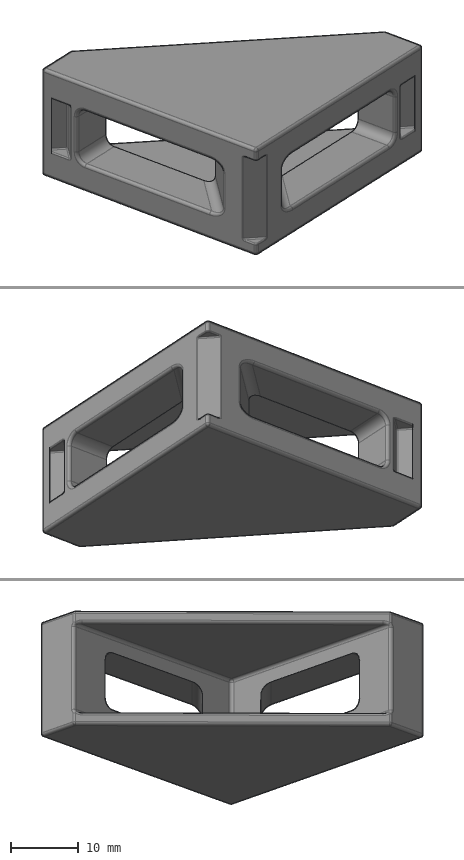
import cadquery as cq

SIDE = 40.0
HEIGHT = 18.0
LEG = 7.0
PLATE = 2.0
EDGE_RADIUS = 0.5
DETAIL_RADIUS = 0.2

WINDOW_START = 6.55
WINDOW_LENGTH = 27.35
WINDOW_HEIGHT = 9.0
WINDOW_RADIUS = 1.5

SLOT_START = 1.9
SLOT_LENGTH = 3.55
SLOT_DEPTH = 2.4
SLOT_HEIGHT = WINDOW_HEIGHT

NOTCH_LEG = 2.55
NOTCH_HEIGHT = HEIGHT - 2 * PLATE

MID_Z = HEIGHT / 2
OVERSHOOT = 0.4
TOLERANCE = 0.005

HYPOTENUSE_SIDE = cq.selectors.DirectionMinMaxSelector(cq.Vector(-1, 1, 0), True)
ALONG_HYPOTENUSE = cq.selectors.ParallelDirSelector(cq.Vector(1, 1, 0))
ACROSS_HYPOTENUSE = cq.selectors.ParallelDirSelector(cq.Vector(-1, 1, 0))


def prism(points, height):
    """Upright prism over an XY outline, centred on the middle height of the part."""
    return cq.Workplane("XY").workplane(offset=MID_Z - height / 2).polyline(points).close().extrude(height)


def swap_legs(tool):
    """Mirror a tool from the -Y leg to the +X leg, across the diagonal of the outer corner."""
    return tool.rotate((0, 0, 0), (0, 0, 1), 90).mirror("XZ").translate((SIDE, SIDE, 0))


def box_edges(x_range, y_range, z_range):
    """Selector for the edges whose centres lie within the given ranges."""
    lows, highs = zip(x_range, y_range, z_range)
    grown_lows = [low - TOLERANCE for low in lows]
    grown_highs = [high + TOLERANCE for high in highs]
    return cq.selectors.BoxSelector(grown_lows, grown_highs)


def bracket_body():
    """Two legs joined by triangular plates, open along the hypotenuse."""
    inner = SIDE - LEG
    body = prism([(0, 0), (SIDE, 0), (SIDE, SIDE), (inner, SIDE), (0, LEG)], HEIGHT)
    pocket = prism(
        [(-OVERSHOOT, LEG), (inner, LEG), (inner, SIDE + OVERSHOOT), (-OVERSHOOT, SIDE + OVERSHOOT)],
        HEIGHT - 2 * PLATE,
    )
    inner_edges = pocket.faces("<Y or >X").edges("not >Y").edges("not <X")
    body = body.cut(inner_edges.fillet(EDGE_RADIUS))
    outer_faces = body.faces("<X or >X or <Y or >Y or <Z or >Z")
    hypotenuse_faces = body.faces(HYPOTENUSE_SIDE)
    return outer_faces.add(hypotenuse_faces).edges().fillet(EDGE_RADIUS)


def window_tool():
    """Window through the -Y leg: one square end, one end sloping at 45 degrees."""
    end = WINDOW_START + WINDOW_LENGTH
    depth = LEG + OVERSHOOT
    outline = [
        (WINDOW_START, -OVERSHOOT),
        (end + OVERSHOOT, -OVERSHOOT),
        (end - depth, depth),
        (WINDOW_START, depth),
    ]
    tool = prism(outline, WINDOW_HEIGHT)
    square_end_edges = tool.edges("|Y")
    sloping_end_edges = tool.edges(ACROSS_HYPOTENUSE)
    return square_end_edges.add(sloping_end_edges).fillet(WINDOW_RADIUS)


def slot_tool():
    """Latch slot that slopes at 45 degrees into the -Y leg, with a floor parallel to the hypotenuse."""
    end = SLOT_START + SLOT_LENGTH
    short_side = SLOT_DEPTH - SLOT_LENGTH / 2
    outline = [
        (SLOT_START + OVERSHOOT, -OVERSHOOT),
        (end + OVERSHOOT, -OVERSHOOT),
        (end - SLOT_DEPTH, SLOT_DEPTH),
        (SLOT_START - short_side, short_side),
    ]
    tool = prism(outline, SLOT_HEIGHT)
    long_wall_edges = tool.faces(cq.selectors.DirectionMinMaxSelector(cq.Vector(1, 1, 0))).edges("not <Y")
    floor_edges = tool.edges(ALONG_HYPOTENUSE)
    return long_wall_edges.add(floor_edges).fillet(DETAIL_RADIUS)


def notch_tool():
    """Diagonal cut across the outer corner, between the top and bottom plates."""
    reach = NOTCH_LEG + OVERSHOOT
    outline = [(SIDE - reach, -OVERSHOOT), (SIDE + OVERSHOOT, -OVERSHOOT), (SIDE + OVERSHOOT, reach)]
    return prism(outline, NOTCH_HEIGHT).edges(ALONG_HYPOTENUSE).fillet(DETAIL_RADIUS)


def round_rims(body, start, length, height, radius):
    """Round the edges of an opening in the outer faces of both legs, measured along the leg."""
    z_range = (MID_Z - height / 2, MID_Z + height / 2)
    far_start = SIDE - start - length
    y_leg_rim = box_edges((start, start + length), (0, 0), z_range)
    x_leg_rim = box_edges((SIDE, SIDE), (far_start, far_start + length), z_range)
    return body.edges(y_leg_rim + x_leg_rim).fillet(radius)


def round_notch_rim(body):
    """Round the notch edges on the outer faces, leaving those along the notch wall."""
    z_range = (MID_Z - NOTCH_HEIGHT / 2, MID_Z + NOTCH_HEIGHT / 2)
    notch_edges = box_edges((SIDE - NOTCH_LEG, SIDE), (0, NOTCH_LEG), z_range)
    return body.edges(notch_edges - ALONG_HYPOTENUSE).fillet(DETAIL_RADIUS)


result = bracket_body()
for tool in (window_tool(), slot_tool()):
    result = result.cut(tool).cut(swap_legs(tool))
result = result.cut(notch_tool())

result = round_rims(result, WINDOW_START, WINDOW_LENGTH, WINDOW_HEIGHT, EDGE_RADIUS)
result = round_rims(result, SLOT_START + DETAIL_RADIUS, SLOT_LENGTH - DETAIL_RADIUS, SLOT_HEIGHT, DETAIL_RADIUS)
result = round_notch_rim(result)